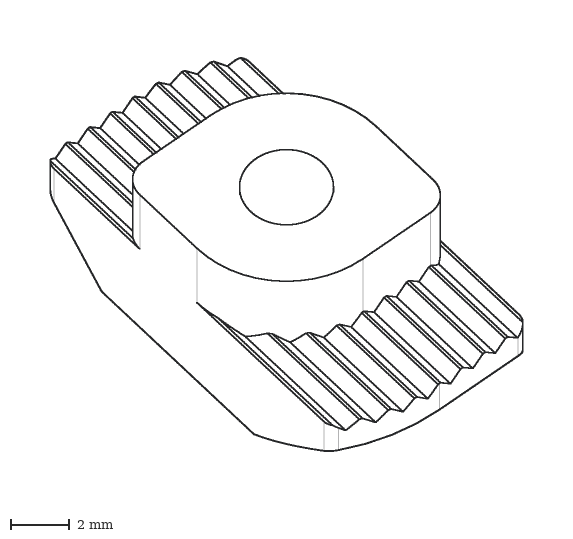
import cadquery as cq
import math

length = 16.0
width = 8.0
base_height = 4.5
total_height = 7.5
bevel_size = 3.0
base_corner_radius = 0.5
boss_corner_radius = 1.0
hole_diameter = 3.2
groove_count = 8
crest_flat = 0.11
edge_drop = 0.06

half_length = length / 2
half_width = width / 2
groove_pitch = width / groove_count
groove_depth = (groove_pitch - crest_flat) / 2
valley_height = base_height - groove_depth
edge_height = base_height - edge_drop
ledge_width = crest_flat / 2 + edge_drop


def arc_end_x(reach):
    """X distance at which an arc of this radius meets the long sides."""
    return math.sqrt(reach**2 - half_width**2)


def quarter_turn_prism(reach, bottom, top):
    """Prism as wide as the part, with two opposite corners swept by arcs about the Z axis."""
    end_x = arc_end_x(reach)
    mid_angle = math.asin(half_width / reach) / 2
    mid_x = reach * math.cos(mid_angle)
    mid_y = reach * math.sin(mid_angle)
    return (
        cq.Workplane("XY", origin=(0, 0, bottom))
        .moveTo(reach, 0)
        .lineTo(reach, half_width)
        .lineTo(-end_x, half_width)
        .threePointArc((-mid_x, mid_y), (-reach, 0))
        .lineTo(-reach, -half_width)
        .lineTo(end_x, -half_width)
        .threePointArc((mid_x, -mid_y), (reach, 0))
        .close()
        .extrude(top - bottom)
    )


def round_corner_pair(prism, x, y, z, radius):
    """Round the upright edge centred at (x, y, z) and its half-turn partner."""
    for side in (1, -1):
        corner = cq.selectors.NearestToPointSelector((side * x, side * y, z))
        prism = prism.edges(corner).fillet(radius)
    return prism


def bevel_profile():
    """Half section in XZ, from the Z axis out to the bevelled end."""
    return cq.Workplane("XZ").polyline([
        (0, 0),
        (half_length - bevel_size, 0),
        (half_length, bevel_size),
        (half_length, base_height),
        (0, base_height),
    ]).close()


def make_bevelled_envelope():
    """Cone under the arc corners, flat bevels under the square corners."""
    cone = bevel_profile().revolve(360, (0, 0), (0, 1))
    square_end = bevel_profile().extrude(-half_width)
    opposite_end = square_end.rotate((0, 0, 0), (0, 0, 1), 180)
    return cone.union(square_end).union(opposite_end)


def make_grooved_envelope():
    """Prism along X whose top carries the V grooves."""
    points = [
        (-half_width, 0),
        (-half_width, edge_height),
        (-half_width + ledge_width, edge_height),
    ]
    for index in range(groove_count):
        valley_y = -half_width + (index + 0.5) * groove_pitch
        if index > 0:
            points.append((valley_y - groove_depth, base_height))
        points.append((valley_y, valley_height))
        if index < groove_count - 1:
            points.append((valley_y + groove_depth, base_height))
    points += [
        (half_width - ledge_width, edge_height),
        (half_width, edge_height),
        (half_width, 0),
    ]
    return cq.Workplane("YZ").polyline(points).close().extrude(half_length, both=True)


def make_base():
    """Bevelled, grooved plate with all four upright corners rounded."""
    middle = base_height / 2
    plate = quarter_turn_prism(half_length, 0, base_height)
    plate = round_corner_pair(plate, half_length, half_width, middle, base_corner_radius)
    plate = round_corner_pair(
        plate, -arc_end_x(half_length), half_width, middle, base_corner_radius
    )
    return plate.intersect(make_bevelled_envelope()).intersect(make_grooved_envelope())


def make_boss():
    """Boss as wide as the base, starting below the grooves; its arcs meet the sides smoothly."""
    boss = quarter_turn_prism(half_width, bevel_size, total_height)
    middle = (bevel_size + total_height) / 2
    return round_corner_pair(boss, half_width, half_width, middle, boss_corner_radius)


hole = cq.Workplane("XY").circle(hole_diameter / 2).extrude(total_height)

result = make_base().union(make_boss()).cut(hole)